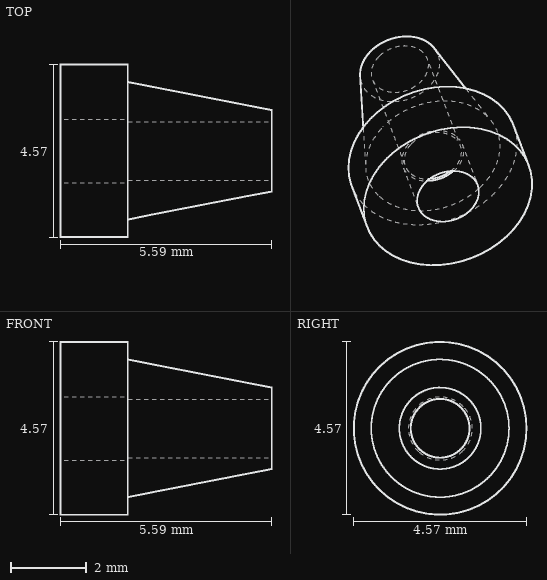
import cadquery as cq

total_length = 5.59
flange_diameter = 4.57
flange_thickness = 1.785

nose_base_diameter = 3.645
nose_tip_diameter = 2.16

flange_bore_diameter = 1.675
nose_bore_diameter = 1.55
flange_bore_depth = flange_thickness

half_section = (
    cq.Workplane("XY")
    .moveTo(0, flange_bore_diameter / 2)
    .lineTo(0, flange_diameter / 2)
    .lineTo(flange_thickness, flange_diameter / 2)
    .lineTo(flange_thickness, nose_base_diameter / 2)
    .lineTo(total_length, nose_tip_diameter / 2)
    .lineTo(total_length, nose_bore_diameter / 2)
    .lineTo(flange_bore_depth, nose_bore_diameter / 2)
    .lineTo(flange_bore_depth, flange_bore_diameter / 2)
    .close()
)

result = half_section.revolve(360, (0, 0, 0), (1, 0, 0))